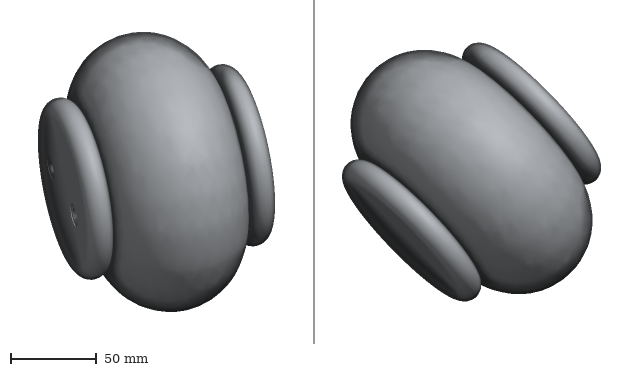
import cadquery as cq
import math

overall_diameter = 165.0
overall_length = 115.0
bead_diameter = 108.0
bead_thickness = 16.0

hole_spacing = 44.4
hole_diameter = 6.6
hole_depth = 9.9
drill_tip_angle = 118.0
chamfer_diameter = 8.0
recess_diameter = 14.0
recess_depth = 0.3

half_length = overall_length / 2
bellows_half_width = half_length - bead_thickness
bead_radius = bead_thickness / 2
bellows_flat_radius = overall_diameter / 2 - bellows_half_width
plate_flat_radius = bead_diameter / 2 - bead_radius


def rounded_disc(outer_radius, flat_radius, y_start, y_end):
    """Disc about the Y axis with a fully rounded, semicircular rim."""
    return (
        cq.Workplane("XY")
        .moveTo(0, y_start)
        .lineTo(flat_radius, y_start)
        .threePointArc((outer_radius, (y_start + y_end) / 2), (flat_radius, y_end))
        .lineTo(0, y_end)
        .close()
        .revolve(360, (0, 0, 0), (0, 1, 0))
    )


def hole_cutter(x_center):
    """Recess, chamfer and blind drilled hole, cut inward from the front face."""
    recess_radius = recess_diameter / 2
    chamfer_radius = chamfer_diameter / 2
    hole_radius = hole_diameter / 2
    y_front = -half_length
    y_recess = y_front + recess_depth
    y_chamfer = y_recess + chamfer_radius - hole_radius
    y_bottom = y_front + hole_depth
    y_tip = y_bottom + hole_radius / math.tan(math.radians(drill_tip_angle / 2))
    return (
        cq.Workplane("XY")
        .polyline([
            (0, y_front),
            (recess_radius, y_front),
            (recess_radius, y_recess),
            (chamfer_radius, y_recess),
            (hole_radius, y_chamfer),
            (hole_radius, y_bottom),
            (0, y_tip),
        ])
        .close()
        .revolve(360, (0, 0, 0), (0, 1, 0))
        .translate((x_center, 0, 0))
    )


result = rounded_disc(
    overall_diameter / 2, bellows_flat_radius, -bellows_half_width, bellows_half_width
)
for y_start, y_end in ((-half_length, -bellows_half_width), (bellows_half_width, half_length)):
    result = result.union(rounded_disc(bead_diameter / 2, plate_flat_radius, y_start, y_end))

for side in (-1, 1):
    result = result.cut(hole_cutter(side * hole_spacing / 2))